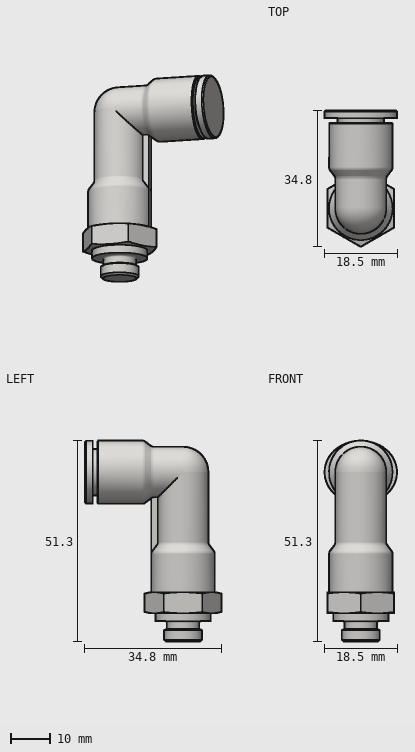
import cadquery as cq
import math

total_height = 51.25
total_depth = 34.8
sleeve_radius = 8.1
arm_radius = 6.5
elbow_z = total_height - sleeve_radius

taper_length = 2.1
taper_round = 1.15

stub_radius = 4.85
stub_chamfer = 0.55
groove_radius = 4.15
groove_bottom_z = 3.3
groove_flank_height = 0.35
groove_round = 0.4
flange_radius = 7.05
flange_bottom_z = 5.25

nut_bottom_z = 7.25
nut_top_z = 12.6
nut_across_flats = 17.0
nut_corner_radius = nut_across_flats / 2 / math.cos(math.pi / 6)
nut_face_radius = 8.35
nut_chamfer_drop = 0.35

sleeve_top_z = 22.8
side_sleeve_start_y = 10.0
side_sleeve_end_y = 21.85
side_sleeve_chamfer = 0.3

collar_width = 18.5
collar_height = 16.05
collar_thickness = 2.05
collar_chamfer = 0.35
collar_neck_radius = 5.95
collar_end_y = total_depth - nut_corner_radius
collar_start_y = collar_end_y - collar_thickness

web_thickness = 2.05


def vertical_cylinder(radius, bottom_z, top_z):
    return cq.Workplane("XY").workplane(offset=bottom_z).circle(radius).extrude(top_z - bottom_z)


def sleeved_arm(sleeve_start, sleeve_end, arm_end):
    """Stepped round arm on the Z axis: sleeve, rounded taper, then the slim arm."""
    taper_end = sleeve_end + taper_length
    arm = (
        cq.Workplane("XZ")
        .moveTo(0, sleeve_start)
        .lineTo(sleeve_radius, sleeve_start)
        .lineTo(sleeve_radius, sleeve_end)
        .lineTo(arm_radius, taper_end)
        .lineTo(arm_radius, arm_end)
        .lineTo(0, arm_end)
        .close()
        .revolve(360, (0, 0, 0), (0, 1, 0))
    )
    reach = 2 * sleeve_radius
    taper_box = cq.selectors.BoxSelector(
        (-reach, -reach, sleeve_end - taper_round),
        (reach, reach, taper_end + taper_round),
    )
    return arm.edges("%CIRCLE").edges(taper_box).fillet(taper_round)


def make_stub():
    shoulder_z = groove_bottom_z - groove_flank_height
    round_offset = groove_round * (1 - math.sqrt(0.5))
    profile = (
        cq.Workplane("XZ")
        .lineTo(stub_radius - stub_chamfer, 0)
        .lineTo(stub_radius, stub_chamfer)
        .lineTo(stub_radius, shoulder_z)
        .lineTo(groove_radius, groove_bottom_z)
        .lineTo(groove_radius, flange_bottom_z - groove_round)
        .threePointArc(
            (groove_radius + round_offset, flange_bottom_z - round_offset),
            (groove_radius + groove_round, flange_bottom_z),
        )
        .lineTo(0, flange_bottom_z)
        .close()
    )
    stub = profile.revolve(360, (0, 0, 0), (0, 1, 0))
    return stub.union(vertical_cylinder(flange_radius, flange_bottom_z, nut_bottom_z))


def make_nut():
    hexagon = (
        cq.Workplane("XY")
        .workplane(offset=nut_bottom_z)
        .transformed(rotate=(0, 0, 90))
        .polygon(6, 2 * nut_corner_radius)
        .extrude(nut_top_z - nut_bottom_z)
    )
    corner_cone = (
        cq.Workplane("XZ")
        .moveTo(0, nut_bottom_z)
        .lineTo(nut_face_radius, nut_bottom_z)
        .lineTo(nut_corner_radius, nut_bottom_z + nut_chamfer_drop)
        .lineTo(nut_corner_radius, nut_top_z - nut_chamfer_drop)
        .lineTo(nut_face_radius, nut_top_z)
        .lineTo(0, nut_top_z)
        .close()
        .revolve(360, (0, 0, 0), (0, 1, 0))
    )
    return hexagon.intersect(corner_cone)


def make_elbow():
    """Two equal arms mitred at the corner, closed by a ball."""
    ball = cq.Workplane("XY").sphere(arm_radius).translate((0, 0, elbow_z))
    upright = sleeved_arm(nut_top_z, sleeve_top_z, elbow_z)
    side = (
        sleeved_arm(-side_sleeve_end_y, -side_sleeve_start_y, 0)
        .faces("<Z")
        .edges()
        .chamfer(side_sleeve_chamfer)
        .rotate((0, 0, 0), (1, 0, 0), 90)
        .translate((0, 0, elbow_z))
    )
    return upright.union(side).union(ball)


def make_collar():
    side_plane = cq.Plane(origin=(0, collar_start_y, elbow_z), xDir=(-1, 0, 0), normal=(0, 1, 0))
    collar = (
        cq.Workplane(side_plane)
        .ellipse(collar_width / 2, collar_height / 2)
        .extrude(collar_thickness)
        .faces(">Y")
        .edges()
        .chamfer(collar_chamfer)
    )
    neck = cq.Workplane(side_plane).circle(collar_neck_radius).extrude(side_sleeve_end_y - collar_start_y)
    return collar.union(neck)


def make_web():
    web_height = elbow_z - nut_top_z
    web = cq.Workplane("XY").box(web_thickness, sleeve_radius, web_height, centered=(True, False, False))
    return web.translate((0, 0, nut_top_z))


result = (
    make_stub()
    .union(make_nut())
    .union(make_elbow())
    .union(make_web())
    .union(make_collar())
)